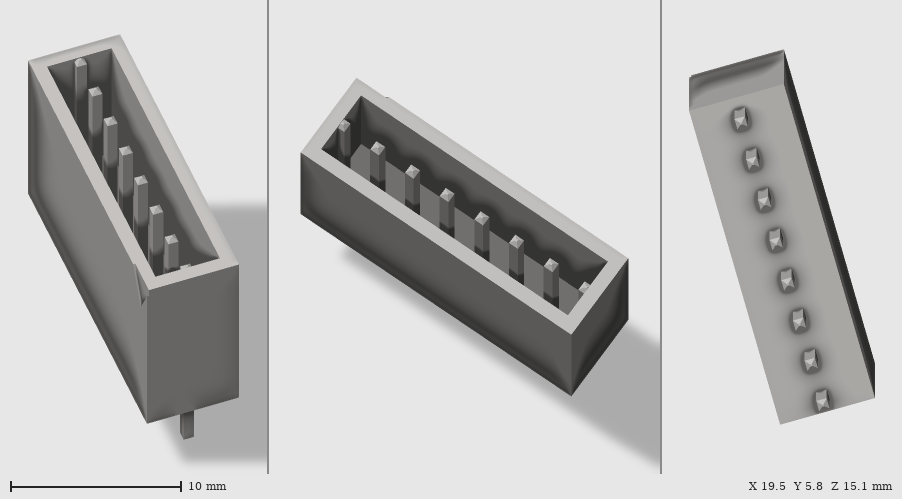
import cadquery as cq

housing_length = 19.5
housing_width = 5.8
housing_height = 11.7

cavity_length = 17.78
cavity_width = 4.064
floor_thickness = 2.5
cavity_depth = housing_height - floor_thickness

pin_count = 8
pin_pitch = 2.5
pin_size = 0.635
pin_chamfer = 0.254
pin_tail_length = 3.4
pin_bottom = -pin_tail_length
pin_top = housing_height
pin_places = [(i - (pin_count - 1) / 2) * pin_pitch for i in range(pin_count)]

mark_width = 2.5
mark_height = 2.5
mark_depth = 0.127


def make_pin(x):
    """One vertical square pin at the given X, chamfered at both ends."""
    return (
        cq.Workplane("XY", origin=(x, 0, pin_bottom))
        .box(pin_size, pin_size, pin_top - pin_bottom, centered=(True, True, False))
        .faces("<Z or >Z")
        .chamfer(pin_chamfer)
    )


def make_mark_cutter():
    """Downward triangle in line with the last pin; the side of the housing cuts off one corner."""
    centre = pin_places[-1]
    front = -housing_width / 2
    triangle = [
        (centre - mark_width / 2, housing_height),
        (centre + mark_width / 2, housing_height),
        (centre, housing_height - mark_height),
    ]
    return cq.Workplane("XZ", origin=(0, front, 0)).polyline(triangle).close().extrude(-mark_depth)


def make_housing(pins):
    """Box with its cavity, the mark, and a fitting hole for every pin."""
    box = cq.Workplane("XY").box(housing_length, housing_width, housing_height, centered=(True, True, False))
    cavity = (
        cq.Workplane("XY", origin=(0, 0, floor_thickness))
        .box(cavity_length, cavity_width, cavity_depth, centered=(True, True, False))
    )
    body = box.cut(cavity).cut(make_mark_cutter())
    for pin in pins:
        body = body.cut(pin)
    return body


pins = [make_pin(x) for x in pin_places]
housing = make_housing(pins)

result = cq.Compound.makeCompound([housing.val(), *[pin.val() for pin in pins]])